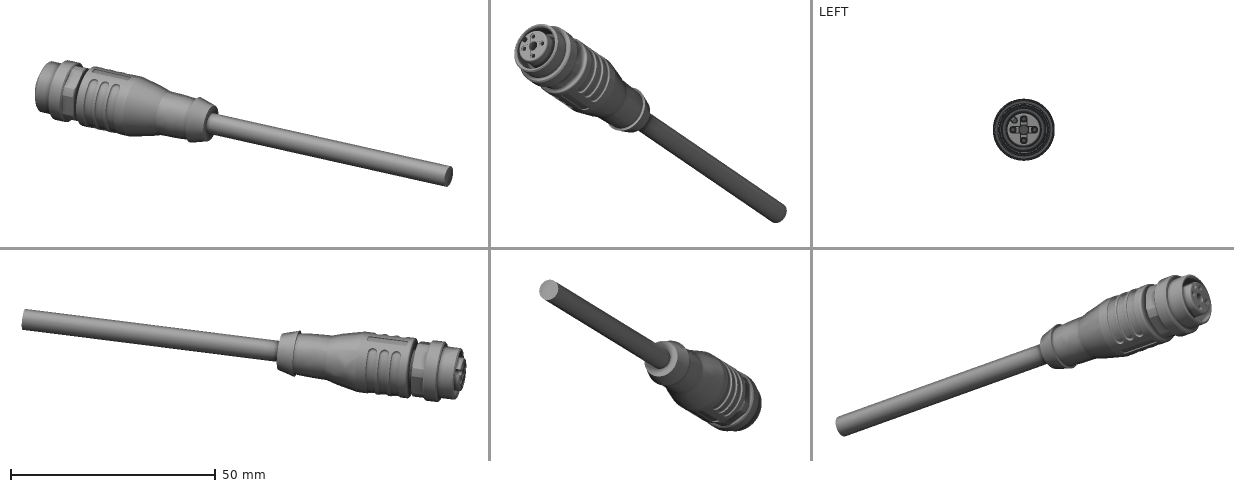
import cadquery as cq
import math

TOTAL_LENGTH = 109.9
BODY_DIAMETER = 15.0
BODY_RADIUS = BODY_DIAMETER / 2

INSERT_DIAMETER = 8.2
INSERT_EDGE_FILLET = 0.4
CONTACT_CIRCLE_RADIUS = 2.6
CONTACT_COUNT = 4
CONTACT_DIAMETER = 1.1
CONTACT_SEAT_DIAMETER = 1.5
CENTRE_CONTACT_DIAMETER = 2.4
CONTACT_DEPTH = 4.4
FACE_STEP = 0.1
KEYWAY_WIDTH = 1.3
KEYWAY_CENTRE_RADIUS = 3.2
KEYWAY_DEPTH = 3.3
KEYWAY_ANGLE = 45
SEAL_THICKNESS = 1.1
SEAL_RING_DIAMETER = 9.6
SEAL_CENTRE = 5.6

NUT_START = 1.1
NUT_DIAMETER = 12.7
NUT_BORE_DIAMETER = 11.0
NUT_BORE_END = 5.9
NUT_EDGE_CHAMFER = 0.3
COLLAR_START = 5.2
COLLAR_END = 8.7
HEX_END = 11.6
HEX_SIDES = 6
HEX_ACROSS_FLATS = 13.1
HEX_CORNER_DIAMETER = 14.1
HEX_EDGE_CHAMFER = 0.2
NECK_DIAMETER = 9.3

GRIP_START = 12.6
GRIP_END = 25.5
GRIP_EDGE_FILLET = 0.4
TAPER_END = 33.4
TAPER_DIAMETER = 11.0
TAPER_SAG = 0.16
SLEEVE_END = 41.5
SLEEVE_DIAMETER = 10.1
SLEEVE_SAG = 0.1
CUFF_END = 45.7
CUFF_FRONT_DIAMETER = 11.4
CUFF_REAR_DIAMETER = 9.0
CABLE_DIAMETER = 5.2

GROOVE_COUNT = 3
GROOVE_PITCH = 3.0
GROOVE_FIRST_CENTRE = 15.9
GROOVE_WIDTH = 2.3
GROOVE_DEPTH = 0.4
GROOVE_FLOOR_FILLET = 0.3
GROOVE_END_OFFSET = 2.9
RECESS_START = 14.0
RECESS_END = 24.0
RECESS_WIDTH = 2.0
RECESS_DEPTH = 0.3
RECESS_CORNER_RADIUS = 0.4


def rod(start, end, diameter):
    """Cylinder along X between two stations."""
    return cq.Workplane("YZ", origin=(start, 0, 0)).circle(diameter / 2).extrude(end - start)


def make_nut():
    """Coupling nut: plain bored end, raised collar and hexagon with turned corners."""
    front = rod(NUT_START, COLLAR_END, NUT_DIAMETER).faces("<X").chamfer(NUT_EDGE_CHAMFER)
    collar = rod(COLLAR_START, COLLAR_END, BODY_DIAMETER).edges().chamfer(NUT_EDGE_CHAMFER)
    hex_length = HEX_END - COLLAR_END
    half_corner_angle = 180 / HEX_SIDES
    corner_to_corner = HEX_ACROSS_FLATS / math.cos(math.radians(half_corner_angle))
    hexagon = (
        cq.Workplane("YZ", origin=(COLLAR_END, 0, 0))
        .transformed(rotate=(0, 0, half_corner_angle))
        .polygon(HEX_SIDES, corner_to_corner)
        .extrude(hex_length)
    )
    corners = rod(COLLAR_END, HEX_END, HEX_CORNER_DIAMETER).faces(">X").chamfer(HEX_EDGE_CHAMFER)
    bore = rod(NUT_START, NUT_BORE_END, NUT_BORE_DIAMETER)
    nut = front.union(collar).union(hexagon.intersect(corners)).cut(bore)
    smallest_circle = cq.selectors.RadiusNthSelector(0)
    return nut.faces("<X").edges(smallest_circle).chamfer(NUT_EDGE_CHAMFER)


def sockets(diameter, depth):
    """Ring of contact holes drilled from the mating face."""
    return (
        cq.Workplane("YZ")
        .polarArray(CONTACT_CIRCLE_RADIUS, 0, 360, CONTACT_COUNT)
        .circle(diameter / 2)
        .extrude(depth)
    )


def make_insert():
    """Contact carrier with its sockets, shallow cross and keyway, plus the seal ring around it."""
    insert = rod(0, NUT_BORE_END, INSERT_DIAMETER).faces("<X").fillet(INSERT_EDGE_FILLET)

    cross_length = 2 * CONTACT_CIRCLE_RADIUS + CONTACT_SEAT_DIAMETER
    for angle in (0, 90):
        arm = cq.Workplane("YZ").slot2D(cross_length, CONTACT_SEAT_DIAMETER, angle).extrude(FACE_STEP)
        insert = insert.cut(arm)
    insert = insert.cut(sockets(CONTACT_SEAT_DIAMETER, 2 * FACE_STEP))
    insert = insert.cut(sockets(CONTACT_DIAMETER, CONTACT_DEPTH))
    insert = insert.cut(rod(0, CONTACT_DEPTH, CENTRE_CONTACT_DIAMETER))

    keyway = (
        cq.Workplane("YZ")
        .transformed(rotate=(0, 0, KEYWAY_ANGLE))
        .center(KEYWAY_CENTRE_RADIUS + INSERT_DIAMETER / 2, 0)
        .slot2D(INSERT_DIAMETER + KEYWAY_WIDTH, KEYWAY_WIDTH)
        .extrude(KEYWAY_DEPTH)
    )
    insert = insert.cut(keyway)

    seal = cq.Workplane(
        cq.Solid.makeTorus(
            SEAL_RING_DIAMETER / 2,
            SEAL_THICKNESS / 2,
            cq.Vector(SEAL_CENTRE, 0, 0),
            cq.Vector(1, 0, 0),
        )
    )
    return insert.union(seal)


def make_grip_and_cable():
    """Turned body: neck, grip, curved bend relief, conical cuff and cable."""
    neck = rod(COLLAR_END, GRIP_START, NECK_DIAMETER)
    grip = rod(GRIP_START, GRIP_END, BODY_DIAMETER).faces("<X").fillet(GRIP_EDGE_FILLET)
    bend_relief_and_cable = (
        cq.Workplane("XY")
        .moveTo(GRIP_END, 0)
        .lineTo(GRIP_END, BODY_RADIUS)
        .sagittaArc((TAPER_END, TAPER_DIAMETER / 2), TAPER_SAG)
        .sagittaArc((SLEEVE_END, SLEEVE_DIAMETER / 2), SLEEVE_SAG)
        .lineTo(SLEEVE_END, CUFF_FRONT_DIAMETER / 2)
        .lineTo(CUFF_END, CUFF_REAR_DIAMETER / 2)
        .lineTo(CUFF_END, CABLE_DIAMETER / 2)
        .lineTo(TOTAL_LENGTH, CABLE_DIAMETER / 2)
        .lineTo(TOTAL_LENGTH, 0)
        .close()
        .revolve(360, (0, 0, 0), (1, 0, 0))
    )
    return neck.union(grip).union(bend_relief_and_cable)


def make_groove(centre, side):
    """Tool for one grip groove wrapping around the +Y or -Y side, with rounded ends."""
    length = BODY_DIAMETER
    outline = (
        cq.Workplane("XY", origin=(0, 0, -BODY_RADIUS))
        .center(centre, side * (GROOVE_END_OFFSET + length / 2))
        .slot2D(length, GROOVE_WIDTH, 90)
        .extrude(BODY_DIAMETER)
    )
    core = rod(GRIP_START, GRIP_END, BODY_DIAMETER - 2 * GROOVE_DEPTH)
    inner_face = cq.selectors.NearestToPointSelector((centre, side * BODY_RADIUS, 0))
    return outline.cut(core).faces(inner_face).edges().fillet(GROOVE_FLOOR_FILLET)


def make_recess():
    """Tool for the flat marking recesses on the top and bottom of the grip."""
    floor = BODY_RADIUS - RECESS_DEPTH
    block = (
        cq.Workplane("XY", origin=((RECESS_START + RECESS_END) / 2, 0, floor))
        .rect(RECESS_END - RECESS_START, RECESS_WIDTH)
        .extrude(BODY_RADIUS)
        .edges("|Z")
        .fillet(RECESS_CORNER_RADIUS)
    )
    return block.union(block.mirror("XY"))


result = make_nut().union(make_insert()).union(make_grip_and_cable()).cut(make_recess())
for side in (1, -1):
    for index in range(GROOVE_COUNT):
        result = result.cut(make_groove(GROOVE_FIRST_CENTRE + index * GROOVE_PITCH, side))